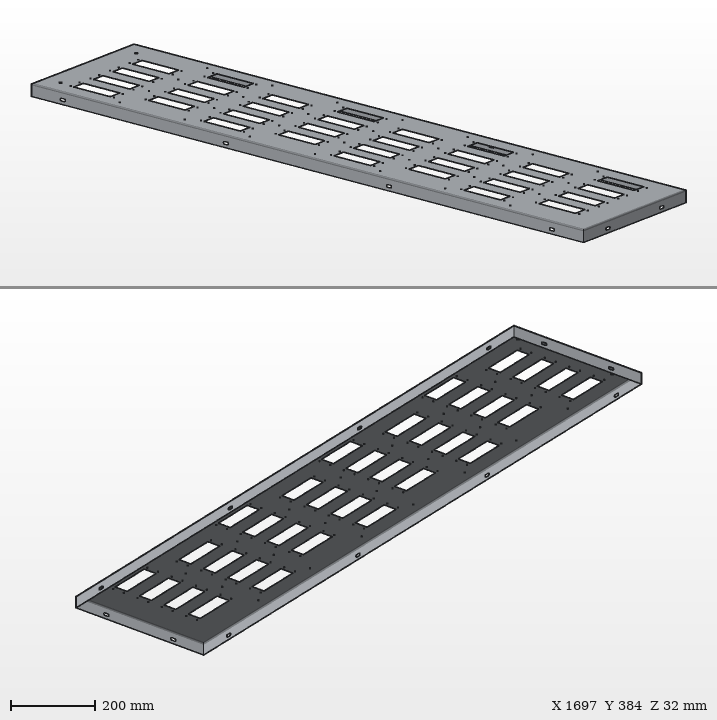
import cadquery as cq

length = 1697.0
width = 384.0
height = 32.0
sheet = 1.5
bend_radius = 2.5

column_count = 8
column_span = 1398.0
column_pitch = column_span / (column_count - 1)
rows_per_column = 4
row_pitch = 73.0
window_length = 112.0
window_width = 35.0

corner_hole_diameter = 3.0
corner_hole_spacing_x = 132.0
corner_hole_spacing_y = 32.0

between_hole_diameter = 3.0
between_hole_rows = 4
between_hole_pitch = 109.0

end_hole_diameter = 7.6
end_hole_inset = 50.0
end_hole_spacing = 282.0

slot_length = 15.0
slot_height = 7.0
slot_height_above_rim = 12.0
long_wall_slots = 4
long_wall_slot_pitch = 500.0
short_wall_slots = 2
short_wall_slot_pitch = 200.0


def centred(count, pitch):
    """Positions of evenly spaced items, centred on zero."""
    return [(i - (count - 1) / 2) * pitch for i in range(count)]


def tray():
    """Thin sheet with four walls folded down and rounded top bends."""
    outer = (
        cq.Workplane("XY")
        .box(length, width, height, centered=(True, True, False))
        .faces(">Z").edges().fillet(bend_radius)
    )
    inner = (
        cq.Workplane("XY")
        .box(length - 2 * sheet, width - 2 * sheet, height - sheet, centered=(True, True, False))
        .faces(">Z").edges().fillet(bend_radius - sheet)
    )
    return outer.cut(inner)


def window_centres():
    """Columns sit a quarter row pitch below and above centre in turn, the first one below."""
    centres = []
    for column, x in enumerate(centred(column_count, column_pitch)):
        shift = row_pitch / 4 if column % 2 else -row_pitch / 4
        centres += [(x, y + shift) for y in centred(rows_per_column, row_pitch)]
    return centres


def windows():
    """Rectangular cutters for the whole window pattern."""
    return cq.Workplane("XY").pushPoints(window_centres()).rect(window_length, window_width).extrude(height)


def round_holes(points, diameter):
    """Vertical cylinders that pierce the top sheet."""
    return cq.Workplane("XY").pushPoints(points).circle(diameter / 2).extrude(height)


def wall_slots(plane, positions, depth):
    """Slots passing right through both opposite walls."""
    points = [(position, slot_height_above_rim) for position in positions]
    profile = cq.Workplane(plane).pushPoints(points).slot2D(slot_length, slot_height)
    return profile.extrude(depth / 2, both=True)


corner_hole_points = [
    (x + dx, y + dy)
    for x, y in window_centres()
    for dx in centred(2, corner_hole_spacing_x)
    for dy in centred(2, corner_hole_spacing_y)
]
between_hole_points = [
    (x, y)
    for x in centred(column_count - 1, column_pitch)
    for y in centred(between_hole_rows, between_hole_pitch)
]
end_hole_points = [(end_hole_inset - length / 2, y) for y in centred(2, end_hole_spacing)]

result = (
    tray()
    .cut(windows())
    .cut(round_holes(corner_hole_points, corner_hole_diameter))
    .cut(round_holes(between_hole_points, between_hole_diameter))
    .cut(round_holes(end_hole_points, end_hole_diameter))
    .cut(wall_slots("XZ", centred(long_wall_slots, long_wall_slot_pitch), width))
    .cut(wall_slots("YZ", centred(short_wall_slots, short_wall_slot_pitch), length))
)